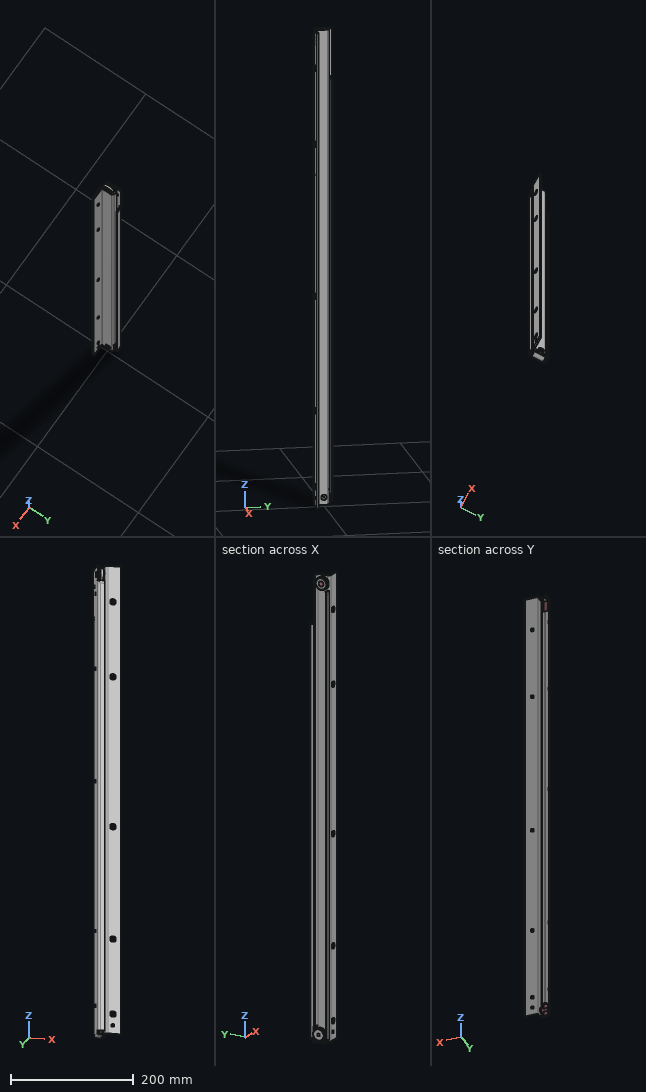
import cadquery as cq

total_width = 38.5
total_height = 31.75
total_length = 800.0

channel_wall = 2.5
sheet_front = 0.3
channel_width = 11.9
web_bend = 3.7
lip_bend = 3.4
channel_bottom = 6.0
web_top = 774.7
web_lead_in_length = 4.8
web_lead_in_depth = 0.25
lip_top = 715.0
lip_relief = 4.0
upper_plate_front = 2.6
plate_corner_chamfer = 2.4

stop_bend = 3.6
stop_y_min = 5.0
stop_y_max = 26.7

angle_wall = 3.2
angle_leg_x = 12.8
angle_lip_x = 5.0
angle_bend_inner = 0.4
angle_bend_outer = angle_bend_inner + angle_wall
angle_bottom = 1.5
lower_lip_cut = 27.0

roller_radius = 11.15
roller_x_min = 3.5
roller_width = 8.0
roller_x_max = roller_x_min + roller_width
roller_rim_chamfer = 1.6
upper_roller_y = roller_radius
upper_roller_drop = 12.9
lower_roller_y = 16.0
lower_roller_z = 14.2
rivet_head_diameter = 9.2
rivet_shank_diameter = 5.0
rivet_dimple_diameter = 2.0
rivet_dimple_depth = 0.5

plate_hole_diameter = 4.8
plate_hole_y = 17.1
plate_hole_heights = [52.0, 180.0, 436.0, 628.0, 756.0]
locating_hole_y = 24.3
locating_hole_z = 770.0
flange_hole_x = 25.3
flange_hole_diameter = 5.2
countersink_diameter = 9.8
countersink_depth = 1.5
flange_hole_heights = [35.0, 163.0, 355.0, 611.0, 739.0]
pilot_hole_diameter = 4.8
pilot_hole_z = 15.7

angle_lip_y = upper_roller_y + roller_radius
angle_top_y = angle_lip_y + angle_wall
angle_leg_outer_x = angle_leg_x + angle_wall
upper_roller_z = total_length - upper_roller_drop
angle_inner_y = sheet_front + angle_wall


def box(x_range, y_range, z_range):
    """Box between two values on each axis."""
    size = [high - low for low, high in (x_range, y_range, z_range)]
    return cq.Workplane("XY").box(*size, centered=False).translate((x_range[0], y_range[0], z_range[0]))


def cylinder_x(diameter, x_start, x_end, y, z):
    """Cylinder along X between two X values."""
    return (
        cq.Workplane("YZ", origin=(min(x_start, x_end), y, z))
        .circle(diameter / 2)
        .extrude(abs(x_end - x_start))
    )


def bent_tray(inset, z_range):
    """Block open towards +X, with the bend radii of the channel reduced by the inset."""
    y_range = (sheet_front + inset, total_height - inset)
    block = box((inset, channel_width), y_range, z_range)
    block = block.edges("|Z and <X and <Y").fillet(web_bend - inset)
    return block.edges("|Z and <X and >Y").fillet(lip_bend - inset)


def channel_section():
    """C-section with rounded bends over the full length of the channel."""
    z_range = (channel_bottom, total_length)
    return bent_tray(0, z_range).cut(bent_tray(channel_wall, z_range))


def end_stop():
    """Tongue below the back plate, bent towards +X across the channel end."""
    joint_z = channel_bottom + stop_bend
    stop_y = (stop_y_min, stop_y_max)
    outer = box((0, channel_width), stop_y, (0, joint_z)).edges("|Y and <X and <Z").fillet(stop_bend)
    inner = (
        box((channel_wall, channel_width), stop_y, (channel_wall, joint_z))
        .edges("|Y and <X and <Z").fillet(stop_bend - channel_wall)
    )
    return outer.cut(inner)


def web_lead_in():
    """Thin wedge removed from the outside of the upper web end."""
    return (
        cq.Workplane("YZ")
        .moveTo(sheet_front, web_top - web_lead_in_length)
        .lineTo(sheet_front, web_top)
        .lineTo(sheet_front + web_lead_in_depth, web_top)
        .close()
        .extrude(channel_width)
    )


def make_channel():
    body = channel_section()
    web_zone = (sheet_front, sheet_front + web_bend)
    lip_zone = (total_height - lip_bend, total_height)
    body = body.cut(box((0, channel_width), web_zone, (web_top, total_length)))
    body = body.cut(box((0, channel_width), lip_zone, (lip_top, total_length)))
    front_strip = box((0, channel_wall), (upper_plate_front, web_zone[1]), (web_top, total_length))
    back_strip = (
        box((0, channel_wall), lip_zone, (lip_top + lip_relief, total_length))
        .edges("|X and >Y and >Z").chamfer(plate_corner_chamfer)
    )
    body = body.union(front_strip).union(back_strip).union(end_stop()).cut(web_lead_in())
    for hole_z in plate_hole_heights:
        body = body.cut(cylinder_x(plate_hole_diameter, 0, channel_wall, plate_hole_y, hole_z))
    body = body.cut(cylinder_x(plate_hole_diameter, 0, channel_wall, locating_hole_y, locating_hole_z))
    return body.cut(
        cylinder_x(rivet_head_diameter, 0, channel_wall, upper_roller_y, upper_roller_z)
    )


def angle_profile():
    """Flange, leg and lip as one bent strip."""
    return (
        cq.Workplane("XY", origin=(0, 0, angle_bottom))
        .moveTo(total_width, sheet_front)
        .lineTo(angle_leg_x + angle_bend_outer, sheet_front)
        .radiusArc((angle_leg_x, sheet_front + angle_bend_outer), angle_bend_outer)
        .lineTo(angle_leg_x, angle_lip_y - angle_bend_inner)
        .radiusArc((angle_leg_x - angle_bend_inner, angle_lip_y), -angle_bend_inner)
        .lineTo(angle_lip_x, angle_lip_y)
        .lineTo(angle_lip_x, angle_top_y)
        .lineTo(angle_leg_outer_x - angle_bend_outer, angle_top_y)
        .radiusArc((angle_leg_outer_x, angle_top_y - angle_bend_outer), angle_bend_outer)
        .lineTo(angle_leg_outer_x, angle_inner_y + angle_bend_inner)
        .radiusArc((angle_leg_outer_x + angle_bend_inner, angle_inner_y), -angle_bend_inner)
        .lineTo(total_width, angle_inner_y)
        .close()
        .extrude(total_length - angle_bottom)
    )


def make_angle():
    lip_cut = box((angle_lip_x, angle_leg_x), (angle_lip_y - angle_bend_inner, angle_top_y),
                  (angle_bottom, lower_lip_cut))
    body = angle_profile().cut(lip_cut)
    flange_front = cq.Workplane("XZ", origin=(0, sheet_front, 0))
    body = body.cut(
        flange_front.center(flange_hole_x, pilot_hole_z)
        .circle(pilot_hole_diameter / 2).extrude(-angle_wall)
    )
    for hole_z in flange_hole_heights:
        bore = (
            flange_front.center(flange_hole_x, hole_z)
            .circle(flange_hole_diameter / 2)
            .extrude(-angle_wall)
        )
        sink = (
            flange_front.center(flange_hole_x, hole_z)
            .circle(countersink_diameter / 2)
            .workplane(offset=-countersink_depth)
            .circle(flange_hole_diameter / 2)
            .loft(ruled=True)
        )
        body = body.cut(bore).cut(sink)
    return body.cut(
        cylinder_x(rivet_head_diameter, angle_leg_x, angle_leg_outer_x, lower_roller_y, lower_roller_z)
    )


def make_roller(y, z):
    """Chamfered roller with a bore for the rivet shank."""
    disc = cylinder_x(2 * roller_radius, roller_x_min, roller_x_max, y, z)
    roller = disc.edges().chamfer(roller_rim_chamfer)
    return roller.cut(cylinder_x(rivet_shank_diameter, roller_x_min, roller_x_max, y, z))


def make_rivet(head_x, shoulder_x, tip_x, y, z):
    """Head from the outer wall face to the roller, shank through the roller, dimple in the head."""
    inward = 1 if tip_x > head_x else -1
    head = cylinder_x(rivet_head_diameter, head_x, shoulder_x, y, z)
    shank = cylinder_x(rivet_shank_diameter, shoulder_x, tip_x, y, z)
    dimple = cylinder_x(rivet_dimple_diameter, head_x, head_x + inward * rivet_dimple_depth, y, z)
    return head.union(shank).cut(dimple)


channel = make_channel()
angle = make_angle()
upper_roller = make_roller(upper_roller_y, upper_roller_z)
upper_rivet = make_rivet(0, roller_x_min, roller_x_max, upper_roller_y, upper_roller_z)
lower_roller = make_roller(lower_roller_y, lower_roller_z)
lower_rivet = make_rivet(angle_leg_outer_x, roller_x_max, roller_x_min, lower_roller_y, lower_roller_z)

bodies = [channel, angle, upper_roller, upper_rivet, lower_roller, lower_rivet]
result = cq.Compound.makeCompound([solid for body in bodies for solid in body.solids().vals()])